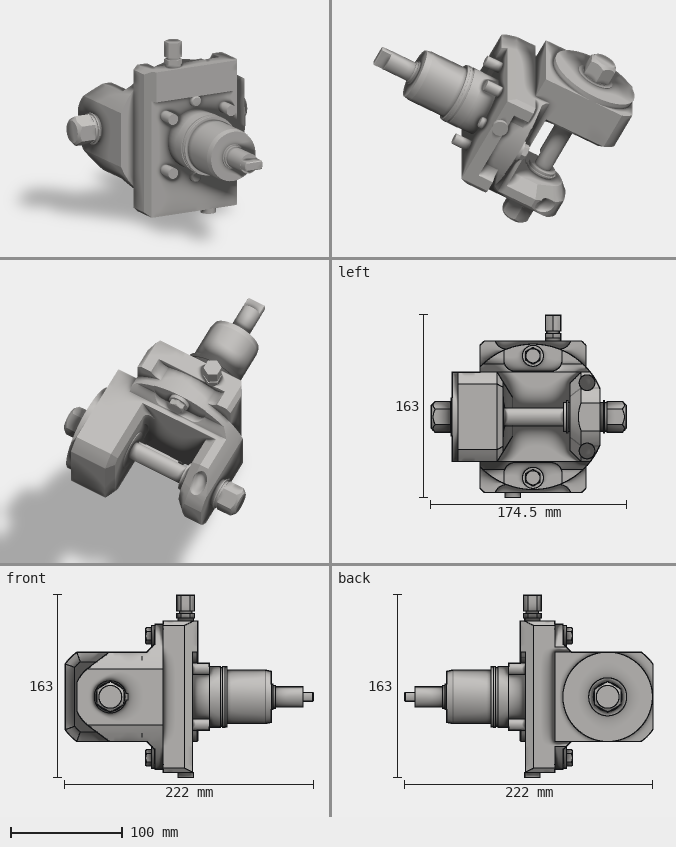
import cadquery as cq
import math


PLATE_FRONT_X = -26.4
PLATE_HALF_Y = 47.5
PLATE_HALF_Z = 67.8
PLATE_CORNER = 4.0
LIP_REAR_X = 4.8
LIP_BOTTOM_Z = 40.0
SIDE_TAPER_START_X = -7.2
SIDE_TAPER_HALF_Y = 41.6
SLOT_HALF_Y = 34.3
SLOT_FLOOR_X = -12.0
SLOT_BOTTOM_Z = 60.5
SLOT_CORNER_R = 10.9

DISC_R = 65.0
DISC_FRONT_X = -34.0
BODY_HALF_Z = 40.0
WEB_FRONT_X = -45.4
ARM_OUTER_Y = -60.0
GUSSET = 7.0
SEAT_HALF_Y = 26.0
SEAT_BOTTOM_Z = 40.8
SEAT_CORNER_R = 10.0
SEAT_FLOOR_X = DISC_FRONT_X + 0.5

SHAFT_X = -73.5
SHAFT_R = 8.0
KEY_Y = (-15.4, 24.8)
KEY_WIDTH = 5.0
KEY_OUTER = 9.3

HEAD_INNER_Y = 26.7
HEAD_OUTER_Y = 67.0
HEAD_END_X = -114.0
HEAD_CORNER_R = 50.0
HEAD_BEVEL_DEPTH = 5.3
HEAD_BEVEL_WIDTH = 8.7
HEAD_FILLET_R = 8.3
HEAD_SPOTFACE_R = 26.0
HEAD_BOSS_R = 17.6
HEAD_BOSS_HEIGHT = 0.5
HEAD_DISC_Y = 72.2

ARM_INNER_Y = -33.0
ARM_END_R = 32.5
ARM_FLAT_X = -103.5
ARM_TANGENT_ANGLE = 127.0
ARM_CHAMFER = 10.0
ARM_HOLE_R = 7.0
ARM_HOLE_Y = -48.3
ARM_HOLE_Z = 30.5

NUT_FLATS = 24.0
NUT_FACE_R = 10.2
NUT_OUTER_Y = (-83.5, 91.0)
NUT_SEAT_Y = (-66.2, 73.7)
COLLAR_R = 12.9
HEAD_WASHER_R = 17.0
HEAD_WASHER_THICKNESS = 0.9
COLLAR_INNER_END_Y = -27.2
TAB_WASHERS_Y = ((-64.1, -63.0), (-31.2, -29.8))
TAB_WASHER_R = 14.4
TAB_REACH = 15.6
TAB_WIDTH = 6.0

BOLT_Z = 54.5
BOLT_FLATS = 13.0
BOLT_TIP_X = -42.2
BOLT_TIP_BEVEL = 1.2
BOLT_WASHER_X = -36.8
BOLT_WASHER_R = 9.4

SPINDLE_STEPS = [(15.0, 27.0), (24.7, 27.3), (26.6, 26.3), (28.7, 27.3), (30.8, 26.9)]
BARREL_R = 24.0
BARREL_END_X = 70.4
BARREL_TAPER_X = 5.5
BARREL_TAPER_R = 1.2
SHAFT_STEPS = [(72.0, 11.3), (74.2, 10.3), (98.7, 9.1)]
TANG_END_X = 108.0
TANG_HALF_Z = 4.0
TANG_BEVEL = 0.7
TANG_R = 9.0
PIN_R = 5.0
PIN_END_X = 15.0
PIN_Y = 30.0
PIN_Z = 25.0
STUB_Z = 35.0
STUB_BEVEL = 1.0

PORT_X = -6.2
PORT_Y = 18.0
FITTING_FLATS = 14.0
PLUG_R = 7.0
PLUG_END_Z = -72.1
FITTING_NECK_R = 5.7
FITTING_Z = (70.4, 74.6, 76.6, 90.9)


def x_cylinder(radius, x0, x1, y=0.0, z=0.0):
    return cq.Workplane("YZ", origin=(x0, y, z)).circle(radius).extrude(x1 - x0)


def y_cylinder(radius, y0, y1):
    return cq.Workplane("XZ", origin=(SHAFT_X, y0, 0)).circle(radius).extrude(y0 - y1)


def z_cylinder(radius, z0, z1, x, y):
    return cq.Workplane("XY", origin=(x, y, z0)).circle(radius).extrude(z1 - z0)


def block(x, y, z):
    size = (x[1] - x[0], y[1] - y[0], z[1] - z[0])
    return cq.Workplane("XY").box(*size, centered=False).translate((x[0], y[0], z[0]))


def corner_diameter(flats):
    return flats / math.cos(math.pi / 6)


def mirrored_in_z(shape):
    return shape.union(shape.mirror("XY"))


def make_plate():
    outline = [
        (PLATE_FRONT_X, -PLATE_HALF_Y),
        (SIDE_TAPER_START_X, -PLATE_HALF_Y),
        (LIP_REAR_X, -SIDE_TAPER_HALF_Y),
        (LIP_REAR_X, SIDE_TAPER_HALF_Y),
        (SIDE_TAPER_START_X, PLATE_HALF_Y),
        (PLATE_FRONT_X, PLATE_HALF_Y),
    ]
    tapered = cq.Workplane("XY", origin=(0, 0, -PLATE_HALF_Z)).polyline(outline).close()
    plate = tapered.extrude(2 * PLATE_HALF_Z)
    cornered = (
        cq.Workplane("YZ", origin=(PLATE_FRONT_X, 0, 0))
        .rect(2 * PLATE_HALF_Y, 2 * PLATE_HALF_Z)
        .extrude(LIP_REAR_X - PLATE_FRONT_X)
        .edges("|X").chamfer(PLATE_CORNER)
    )
    plate = plate.intersect(cornered)
    below_lip = block((0, LIP_REAR_X), (-PLATE_HALF_Y, PLATE_HALF_Y), (-PLATE_HALF_Z, LIP_BOTTOM_Z))
    slot = block(
        (PLATE_FRONT_X, SLOT_FLOOR_X),
        (-SLOT_HALF_Y, SLOT_HALF_Y),
        (SLOT_BOTTOM_Z, PLATE_HALF_Z + SLOT_CORNER_R),
    ).edges("|X and <Z").fillet(SLOT_CORNER_R)
    return plate.cut(below_lip).cut(mirrored_in_z(slot))


def make_disc_and_web():
    """Disc with its spigot in the plate slots, the web, 45 degree gussets and the bolt seats."""
    disc = x_cylinder(DISC_R, DISC_FRONT_X, PLATE_FRONT_X)
    disc = disc.intersect(
        block((DISC_FRONT_X, PLATE_FRONT_X), (ARM_OUTER_Y, PLATE_HALF_Y), (-DISC_R, DISC_R))
    )
    spigot = x_cylinder(DISC_R, PLATE_FRONT_X, SLOT_FLOOR_X)
    spigot = spigot.intersect(
        block((PLATE_FRONT_X, SLOT_FLOOR_X), (-SLOT_HALF_Y, SLOT_HALF_Y), (-DISC_R, DISC_R))
    )
    foot_x = DISC_FRONT_X - GUSSET
    web_half = [
        (WEB_FRONT_X, 0),
        (WEB_FRONT_X, BODY_HALF_Z),
        (foot_x, BODY_HALF_Z),
        (DISC_FRONT_X, BODY_HALF_Z + GUSSET),
        (DISC_FRONT_X, 0),
    ]
    web = (
        cq.Workplane("XZ", origin=(0, PLATE_HALF_Y, 0))
        .polyline(web_half).close().extrude(PLATE_HALF_Y - ARM_OUTER_Y)
    )
    web = web.intersect(x_cylinder(DISC_R, WEB_FRONT_X, DISC_FRONT_X))
    seat = block(
        (WEB_FRONT_X, SEAT_FLOOR_X),
        (-SEAT_HALF_Y, SEAT_HALF_Y),
        (SEAT_BOTTOM_Z, DISC_R + SEAT_CORNER_R),
    ).edges("|X and <Z").fillet(SEAT_CORNER_R)
    return disc.union(spigot).union(mirrored_in_z(web)).cut(mirrored_in_z(seat))


def bevelled_prism(outline, inner_y, outer_y, depth, width):
    """Extrude outline(offset) from inner_y to outer_y, bevelled round the face at inner_y."""
    away = math.copysign(depth, outer_y - inner_y)
    small = outline(width).val()
    large = outline(0).val().translate(cq.Vector(0, away, 0))
    bevel = cq.Workplane(cq.Solid.makeLoft([small, large], True))
    straight = outline(0).extrude(inner_y + away - outer_y).translate((0, away, 0))
    return bevel.union(straight)


def head_outline(offset):
    """Head profile in the XZ plane at HEAD_INNER_Y, shrunk inward by an offset."""
    end_x = HEAD_END_X + offset
    top_z = BODY_HALF_Z - offset
    radius = HEAD_CORNER_R - offset
    arc_end_z = math.sqrt(radius**2 - (SHAFT_X - end_x) ** 2)
    arc_top_x = SHAFT_X - math.sqrt(radius**2 - top_z**2)
    mid_angle = (math.atan2(arc_end_z, SHAFT_X - end_x) + math.atan2(top_z, SHAFT_X - arc_top_x)) / 2
    mid_x = SHAFT_X - radius * math.cos(mid_angle)
    mid_z = radius * math.sin(mid_angle)
    return (
        cq.Workplane("XZ", origin=(0, HEAD_INNER_Y, 0))
        .moveTo(PLATE_FRONT_X, -top_z)
        .lineTo(arc_top_x, -top_z)
        .threePointArc((mid_x, -mid_z), (end_x, -arc_end_z))
        .lineTo(end_x, arc_end_z)
        .threePointArc((mid_x, mid_z), (arc_top_x, top_z))
        .lineTo(PLATE_FRONT_X, top_z)
        .close()
    )


def make_head():
    z_top = BODY_HALF_Z
    bevelled = bevelled_prism(head_outline, HEAD_INNER_Y, HEAD_OUTER_Y, HEAD_BEVEL_DEPTH, HEAD_BEVEL_WIDTH)
    web_part = block((WEB_FRONT_X, PLATE_FRONT_X), (HEAD_INNER_Y, HEAD_OUTER_Y), (-z_top, z_top))
    fillet_x = WEB_FRONT_X - HEAD_FILLET_R
    fillet_y = HEAD_INNER_Y - HEAD_FILLET_R
    corner = block((fillet_x, WEB_FRONT_X), (fillet_y, HEAD_OUTER_Y), (-z_top, z_top))
    round_cut = (
        cq.Workplane("XY", origin=(fillet_x, fillet_y, -z_top)).circle(HEAD_FILLET_R).extrude(2 * z_top)
    )
    bevel_y = HEAD_INNER_Y + HEAD_BEVEL_DEPTH
    bevel_run = (bevel_y - fillet_y) * HEAD_BEVEL_WIDTH / HEAD_BEVEL_DEPTH
    wedge = (
        cq.Workplane("YZ", origin=(fillet_x, 0, 0))
        .polyline([(bevel_y, z_top), (fillet_y, z_top), (fillet_y, z_top - bevel_run)]).close()
        .extrude(HEAD_FILLET_R)
    )
    spotface = y_cylinder(HEAD_SPOTFACE_R, fillet_y, HEAD_INNER_Y)
    corner = corner.cut(round_cut).cut(spotface).cut(mirrored_in_z(wedge))
    boss = y_cylinder(HEAD_BOSS_R, HEAD_INNER_Y - HEAD_BOSS_HEIGHT, HEAD_INNER_Y)
    face_disc = y_cylinder(z_top, HEAD_OUTER_Y, HEAD_DISC_Y)
    beyond_corner = block((fillet_x, 0), (0, HEAD_OUTER_Y), (-z_top, z_top))
    return bevelled.cut(beyond_corner).union(web_part).union(corner).union(face_disc).union(boss)


def arm_outline(offset):
    """Arm profile in the XZ plane at ARM_INNER_Y, shrunk inward by an offset."""
    angle = math.radians(ARM_TANGENT_ANGLE)
    radius = ARM_END_R - offset
    top_z = BODY_HALF_Z - offset
    tangent_x = SHAFT_X + radius * math.cos(angle)
    tangent_z = radius * math.sin(angle)
    shoulder_x = tangent_x + (top_z - tangent_z) / math.tan(angle - math.pi / 2)
    return (
        cq.Workplane("XZ", origin=(0, ARM_INNER_Y, 0))
        .moveTo(PLATE_FRONT_X, -top_z)
        .lineTo(shoulder_x, -top_z)
        .lineTo(tangent_x, -tangent_z)
        .threePointArc((SHAFT_X - radius, 0), (tangent_x, tangent_z))
        .lineTo(shoulder_x, top_z)
        .lineTo(PLATE_FRONT_X, top_z)
        .close()
    )


def make_arm():
    arm = bevelled_prism(arm_outline, ARM_INNER_Y, ARM_OUTER_Y, ARM_CHAMFER, ARM_CHAMFER)
    web_part = block((WEB_FRONT_X, PLATE_FRONT_X), (ARM_OUTER_Y, ARM_INNER_Y), (-BODY_HALF_Z, BODY_HALF_Z))
    arm = arm.union(web_part)
    arm = arm.intersect(x_cylinder(DISC_R, ARM_FLAT_X, PLATE_FRONT_X))
    hole = x_cylinder(ARM_HOLE_R, ARM_FLAT_X, WEB_FRONT_X, ARM_HOLE_Y, ARM_HOLE_Z)
    return arm.cut(mirrored_in_z(hole))


def make_nut(seat_y, outer_y):
    length = abs(outer_y - seat_y)
    corner_r = corner_diameter(NUT_FLATS) / 2
    hexagon = cq.Workplane("XY").polygon(6, 2 * corner_r).extrude(length)
    bevel = corner_r - NUT_FACE_R
    bevelled_round = cq.Workplane("XY").circle(corner_r).extrude(length).faces(">Z").chamfer(bevel)
    hexagon = hexagon.intersect(bevelled_round)
    hexagon = hexagon.rotate((0, 0, 0), (0, 0, 1), 90)
    turn = -90 if outer_y > seat_y else 90
    return hexagon.rotate((0, 0, 0), (1, 0, 0), turn).translate((SHAFT_X, seat_y, 0))


def make_tab_washer(y0, y1):
    washer = y_cylinder(TAB_WASHER_R, y0, y1)
    half_tab = TAB_WIDTH / 2
    tab = block((SHAFT_X, SHAFT_X + TAB_REACH), (y0, y1), (-half_tab, half_tab))
    return washer.union(tab)


def make_cross_shaft():
    shaft = y_cylinder(SHAFT_R, NUT_SEAT_Y[0], NUT_SEAT_Y[1])
    half_key = KEY_WIDTH / 2
    shaft = shaft.union(block((SHAFT_X, SHAFT_X + KEY_OUTER), KEY_Y, (-half_key, half_key)))
    shaft = shaft.union(y_cylinder(COLLAR_R, HEAD_DISC_Y, NUT_SEAT_Y[1]))
    shaft = shaft.union(y_cylinder(HEAD_WASHER_R, HEAD_DISC_Y, HEAD_DISC_Y + HEAD_WASHER_THICKNESS))
    shaft = shaft.union(y_cylinder(COLLAR_R, NUT_SEAT_Y[0], ARM_OUTER_Y))
    shaft = shaft.union(y_cylinder(COLLAR_R, ARM_INNER_Y, COLLAR_INNER_END_Y))
    for y0, y1 in TAB_WASHERS_Y:
        shaft = shaft.union(make_tab_washer(y0, y1))
    for seat_y, outer_y in zip(NUT_SEAT_Y, NUT_OUTER_Y):
        shaft = shaft.union(make_nut(seat_y, outer_y))
    return shaft


def make_clamp_bolts():
    head = (
        cq.Workplane("YZ", origin=(BOLT_TIP_X, 0, BOLT_Z))
        .transformed(rotate=(0, 0, 90))
        .polygon(6, corner_diameter(BOLT_FLATS))
        .extrude(BOLT_WASHER_X - BOLT_TIP_X)
    )
    tip = x_cylinder(corner_diameter(BOLT_FLATS) / 2, BOLT_TIP_X, BOLT_WASHER_X, 0, BOLT_Z)
    head = head.intersect(tip.faces("<X").chamfer(BOLT_TIP_BEVEL))
    washer = x_cylinder(BOLT_WASHER_R, BOLT_WASHER_X, SEAT_FLOOR_X, 0, BOLT_Z)
    return mirrored_in_z(head.union(washer))


def make_spindle():
    spindle = x_cylinder(BARREL_R, SLOT_FLOOR_X, BARREL_END_X)
    spindle = spindle.faces(">X").chamfer(BARREL_TAPER_X, BARREL_TAPER_R)
    start_x = 0.0
    for end_x, radius in SPINDLE_STEPS:
        spindle = spindle.union(x_cylinder(radius, start_x, end_x))
        start_x = end_x
    start_x = BARREL_END_X
    for end_x, radius in SHAFT_STEPS:
        spindle = spindle.union(x_cylinder(radius, start_x, end_x))
        start_x = end_x
    tang = x_cylinder(TANG_R, start_x, TANG_END_X)
    tang = tang.intersect(block((start_x, TANG_END_X), (-TANG_R, TANG_R), (-TANG_HALF_Z, TANG_HALF_Z)))
    return spindle.union(tang.faces(">X").chamfer(TANG_BEVEL))


def make_rear_pins():
    pins = x_cylinder(PIN_R, SLOT_FLOOR_X, LIP_REAR_X, 0, STUB_Z).faces(">X").chamfer(STUB_BEVEL)
    for y in (-PIN_Y, PIN_Y):
        pins = pins.union(x_cylinder(PIN_R, SLOT_FLOOR_X, PIN_END_X, y, PIN_Z))
    return mirrored_in_z(pins)


def make_fitting_and_plug():
    lower_nut, neck, upper_nut, top = FITTING_Z
    parts = z_cylinder(PLUG_R, PLATE_HALF_Z, lower_nut, PORT_X, -PORT_Y)
    parts = parts.union(z_cylinder(FITTING_NECK_R, neck, upper_nut, PORT_X, -PORT_Y))
    for z0, z1 in ((lower_nut, neck), (upper_nut, top)):
        hexagon = cq.Workplane("XY", origin=(PORT_X, -PORT_Y, z0)).polygon(6, corner_diameter(FITTING_FLATS))
        parts = parts.union(hexagon.extrude(z1 - z0))
    return parts.union(z_cylinder(PLUG_R, PLUG_END_Z, -PLATE_HALF_Z, PORT_X, PORT_Y))


result = make_plate()
for piece in (
    make_disc_and_web(),
    make_head(),
    make_arm(),
    make_cross_shaft(),
    make_clamp_bolts(),
    make_spindle(),
    make_rear_pins(),
    make_fitting_and_plug(),
):
    result = result.union(piece)